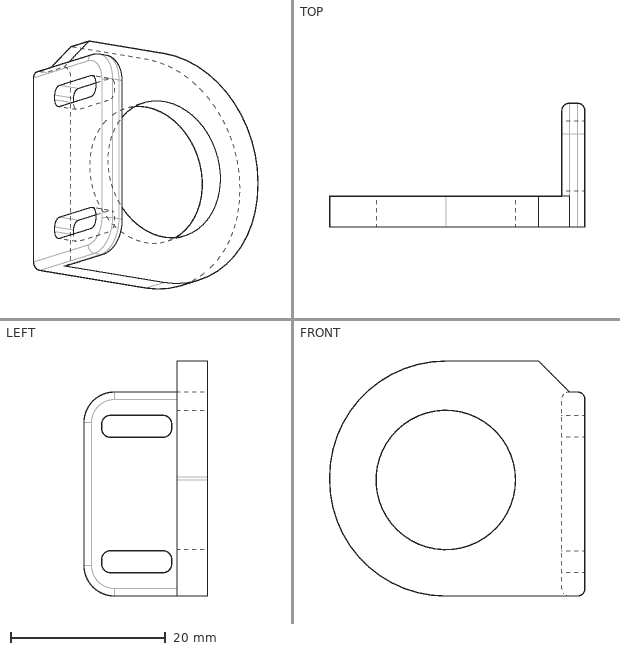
import cadquery as cq
import math

length = 33.0
plate_height = 30.4
plate_thickness = 4.0
end_radius = 15.0
bore_diameter = 18.0
corner_chamfer = 5.0

flange_thickness = 3.0
flange_depth = 16.0
flange_height = 26.4
flange_corner_radius = 4.0
edge_round = 1.0

slot_length = 9.0
slot_width = 2.8
slot_corner_radius = 1.1
slot_center_y = 9.17
slot_center_z = (4.45, 21.95)

plate_end = length - edge_round
flange_start = length - flange_thickness
upper_arc_z = plate_height - end_radius
arc_offset = end_radius * math.sin(math.radians(45))


def make_plate():
    """D-shaped plate with a bore and one cut corner."""
    outline = (
        cq.Workplane("XZ")
        .moveTo(end_radius, 0)
        .lineTo(plate_end, 0)
        .lineTo(plate_end, plate_height - corner_chamfer)
        .lineTo(plate_end - corner_chamfer, plate_height)
        .lineTo(end_radius, plate_height)
        .threePointArc((end_radius - arc_offset, upper_arc_z + arc_offset), (0, upper_arc_z))
        .lineTo(0, end_radius)
        .threePointArc((end_radius - arc_offset, end_radius - arc_offset), (end_radius, 0))
        .close()
    )
    plate = outline.extrude(-plate_thickness)
    bore = (
        cq.Workplane("XZ")
        .center(end_radius, end_radius)
        .circle(bore_diameter / 2)
        .extrude(-plate_thickness)
    )
    return plate.cut(bore)


def make_flange():
    """Upright flange with rounded rear corners and softened edges."""
    flange = cq.Workplane("XY").box(
        flange_thickness, flange_depth, flange_height, centered=False
    )
    flange = flange.edges("|X and >Y").fillet(flange_corner_radius)
    flange = flange.faces("<X or >X").edges("not <Y").fillet(edge_round)
    return flange.translate((flange_start, 0, 0))


def make_slots():
    """Cutters for the two round-cornered slots."""
    centers = [(slot_center_y, z) for z in slot_center_z]
    slots = (
        cq.Workplane("YZ", origin=(flange_start, 0, 0))
        .pushPoints(centers)
        .rect(slot_length, slot_width)
        .extrude(flange_thickness)
    )
    return slots.edges("|X").fillet(slot_corner_radius)


result = make_plate().union(make_flange()).cut(make_slots())